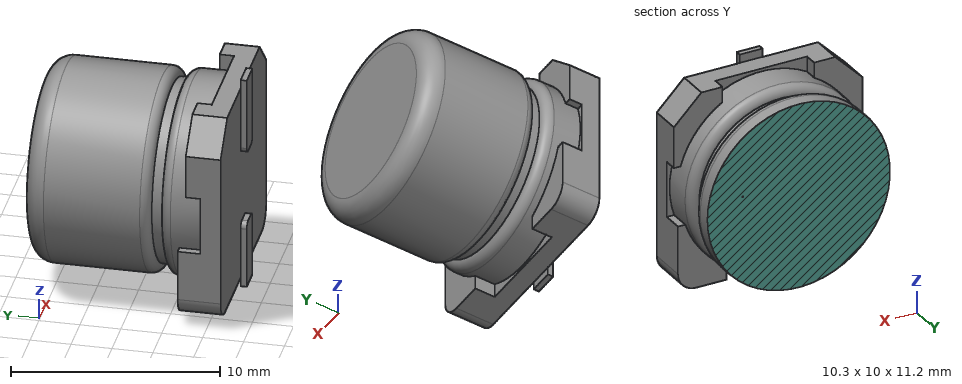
import cadquery as cq
import math


base_side = 10.3
floor_thickness = 1.0
base_chamfer = 1.5
base_corner_radius = 1.0

upper_post_height = 1.7
lower_post_height = 2.1
post_gap_x = 5.0
upper_post_z = 1.43
lower_post_z = -1.56

can_radius = 5.0
can_top = 9.7
can_top_fillet = 1.0
groove_bottom = 3.0
groove_width = 0.5
bead_radius = 0.5

lead_width = 1.25
lead_thickness = 0.3
lead_reach = 5.6
lead_corner_radius = 0.3
upper_lead_inner_z = 1.63
lower_lead_inner_z = -2.15

ARC_MIDDLE = math.sqrt(0.5)


def box_between(x_range, y_range, z_range):
    """Axis-aligned box spanning the given (low, high) ranges."""
    ranges = (x_range, y_range, z_range)
    sizes = [high - low for low, high in ranges]
    low_corner = tuple(low for low, _ in ranges)
    return cq.Workplane("XY").box(*sizes, centered=False).translate(low_corner)


def base_block(height):
    """Base outline, chamfered at +Z and rounded at -Z, of the given height."""
    half = base_side / 2
    block = box_between((-half, half), (0, height), (-half, half))
    block = block.edges("|Y and >Z").chamfer(base_chamfer)
    return block.edges("|Y and <Z").fillet(base_corner_radius)


def corner_posts(height, z_range):
    """Left and right posts of one Z side, trimmed to the base outline."""
    half = base_side / 2
    band = box_between((-half, half), (0, height), z_range)
    gap = box_between((-post_gap_x / 2, post_gap_x / 2), (0, height), z_range)
    return base_block(height).intersect(band.cut(gap))


def can():
    """Revolved can with a rounded top and a groove near its foot."""
    groove_radius = can_radius - bead_radius
    lower_bead_y = groove_bottom - bead_radius
    upper_bead_y = groove_bottom + groove_width + bead_radius
    bead_mid_x = groove_radius + bead_radius * ARC_MIDDLE
    bead_mid_rise = bead_radius * ARC_MIDDLE
    top_center_x = can_radius - can_top_fillet
    top_center_y = can_top - can_top_fillet
    top_mid_offset = can_top_fillet * ARC_MIDDLE
    profile = (
        cq.Workplane("XY")
        .lineTo(can_radius, 0)
        .lineTo(can_radius, lower_bead_y)
        .threePointArc((bead_mid_x, lower_bead_y + bead_mid_rise), (groove_radius, groove_bottom))
        .lineTo(groove_radius, groove_bottom + groove_width)
        .threePointArc((bead_mid_x, upper_bead_y - bead_mid_rise), (can_radius, upper_bead_y))
        .lineTo(can_radius, top_center_y)
        .threePointArc(
            (top_center_x + top_mid_offset, top_center_y + top_mid_offset),
            (top_center_x, can_top),
        )
        .lineTo(0, can_top)
        .close()
    )
    return profile.revolve(360, (0, 0, 0), (0, 1, 0))


def lead(z_range, inner_side):
    """Flat lead under the base, rounded at its inner end."""
    half = lead_width / 2
    strip = box_between((-half, half), (-lead_thickness, 0), z_range)
    return strip.edges("|Y and " + inner_side).fillet(lead_corner_radius)


result = (
    base_block(floor_thickness)
    .union(corner_posts(upper_post_height, (upper_post_z, base_side / 2)))
    .union(corner_posts(lower_post_height, (-base_side / 2, lower_post_z)))
    .union(can())
    .union(lead((upper_lead_inner_z, lead_reach), "<Z"))
    .union(lead((-lead_reach, lower_lead_inner_z), ">Z"))
)